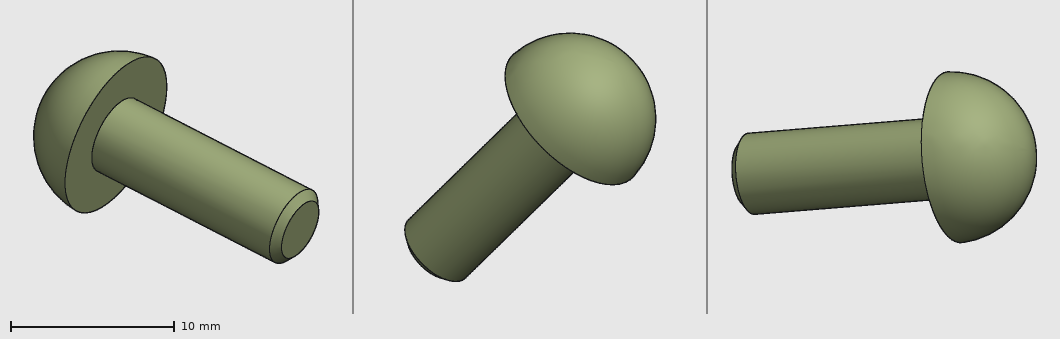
import cadquery as cq

total_length = 19.0
shank_diameter = 5.0
head_diameter = 10.5
head_height = 5.0
tip_chamfer_length = 0.5
tip_chamfer_depth = 0.57

shank_length = total_length - head_height
shank_radius = shank_diameter / 2
head_radius = head_diameter / 2

dome_radius = (head_radius**2 + head_height**2) / (2 * head_height)
dome_center_x = dome_radius - head_height
dome_mid_offset = dome_radius / 2**0.5

profile = (
    cq.Workplane("XY")
    .moveTo(-head_height, 0)
    .threePointArc(
        (dome_center_x - dome_mid_offset, dome_mid_offset),
        (0, head_radius),
    )
    .lineTo(0, shank_radius)
    .lineTo(shank_length - tip_chamfer_length, shank_radius)
    .lineTo(shank_length, shank_radius - tip_chamfer_depth)
    .lineTo(shank_length, 0)
    .close()
)

result = profile.revolve(360, (0, 0, 0), (1, 0, 0))